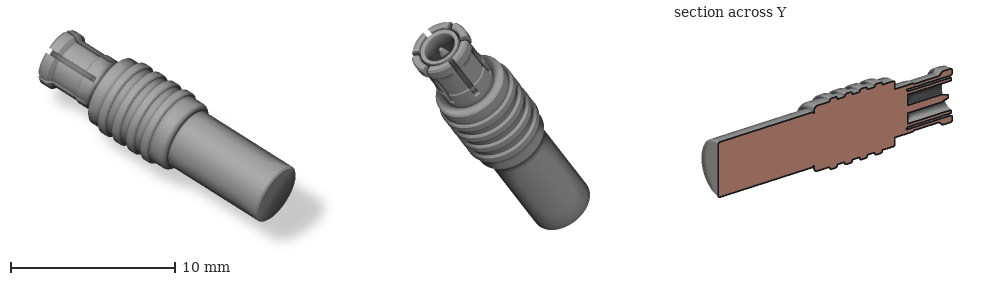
import cadquery as cq
import math

total_length = 17.1

tip_radius = 1.9
tip_chamfer_depth = 0.1
tip_chamfer_length = 0.15
tip_land_end = 0.74
neck_start = 1.0
neck_radius = 1.65
shoulder_start = 2.8
shoulder_end = 2.89
shoulder_radius = 1.71
finger_bore_radius = 1.39
finger_mouth_round = 0.19
slot_count = 6
slot_width = 0.36
slot_end = 3.68

gap_cone_start = 3.25
gap_cone_end = 3.37

insulator_start = 0.07
insulator_radius = 1.27
insulator_bore_radius = 1.01
insulator_mouth_round = 0.1
insulator_bore_depth = 3.25
pin_start = 0.3
pin_radius = 0.29
pin_tip_radius = 0.12
pin_tip_length = 0.51

sleeve_start = 4.19
sleeve_end = 10.1
sleeve_radius = 2.3
sleeve_chamfer = 0.1
sleeve_round = 0.25
ring_count = 4
first_ring_start = 5.11
ring_pitch = 1.1
ring_width = 0.56
ring_radius = 2.5
ring_chamfer = 0.09

ferrule_radius = 1.95
ferrule_chamfer = 0.1


def cylinder(start, end, radius):
    """Solid cylinder along X between two stations."""
    return cq.Workplane("YZ", origin=(start, 0, 0)).circle(radius).extrude(end - start)


def revolve_profile(points):
    """Turn a closed (x, radius) outline around the X axis."""
    return cq.Workplane("XY").polyline(points).close().revolve(360, (0, 0, 0), (1, 0, 0))


def rounded_mouth_bore(depth, radius, mouth_round):
    """Bore cutter from X = 0, flared at that mouth by a quarter-round."""
    straight = cylinder(0, depth, radius)
    half_chord = mouth_round * math.sqrt(0.5)
    flare = (
        cq.Workplane("XY")
        .moveTo(0, 0)
        .lineTo(0, radius + mouth_round)
        .threePointArc(
            (mouth_round - half_chord, radius + mouth_round - half_chord),
            (mouth_round, radius),
        )
        .lineTo(mouth_round, 0)
        .close()
        .revolve(360, (0, 0, 0), (1, 0, 0))
    )
    return straight.union(flare)


def make_fingers():
    body = revolve_profile([
        (0, 0),
        (0, tip_radius - tip_chamfer_depth),
        (tip_chamfer_length, tip_radius),
        (tip_land_end, tip_radius),
        (neck_start, neck_radius),
        (shoulder_start, neck_radius),
        (shoulder_end, shoulder_radius),
        (sleeve_start, shoulder_radius),
        (sleeve_start, 0),
    ])
    gap_cone = revolve_profile([
        (gap_cone_start, 0),
        (gap_cone_start, insulator_radius),
        (gap_cone_end, finger_bore_radius),
        (gap_cone_end, 0),
    ])
    bore = rounded_mouth_bore(gap_cone_end, finger_bore_radius, finger_mouth_round)
    fingers = body.cut(bore.cut(gap_cone))
    slot = (
        cq.Workplane("XY")
        .box(slot_end, tip_radius, slot_width, centered=(False, False, True))
        .cut(cylinder(0, slot_end, finger_bore_radius))
    )
    for index in range(slot_count):
        fingers = fingers.cut(slot.rotate((0, 0, 0), (1, 0, 0), index * 360 / slot_count))
    return fingers


def make_insulator():
    tube = cylinder(insulator_start, sleeve_start, insulator_radius)
    bore = rounded_mouth_bore(insulator_bore_depth, insulator_bore_radius, insulator_mouth_round)
    return tube.cut(bore.translate((insulator_start, 0, 0)))


def make_pin():
    return revolve_profile([
        (pin_start, 0),
        (pin_start, pin_tip_radius),
        (pin_start + pin_tip_length, pin_radius),
        (sleeve_start, pin_radius),
        (sleeve_start, 0),
    ])


def make_sleeve():
    sleeve = cylinder(sleeve_start, sleeve_end, sleeve_radius)
    sleeve = sleeve.faces("<X").chamfer(sleeve_chamfer)
    sleeve = sleeve.faces(">X").edges().fillet(sleeve_round)
    for index in range(ring_count):
        start = first_ring_start + index * ring_pitch
        ring = cylinder(start, start + ring_width, ring_radius).edges().chamfer(ring_chamfer)
        sleeve = sleeve.union(ring)
    return sleeve


def make_ferrule():
    return cylinder(sleeve_end, total_length, ferrule_radius).edges().chamfer(ferrule_chamfer)


result = make_sleeve().union(make_ferrule()).union(make_fingers())
result = result.union(make_insulator()).union(make_pin())